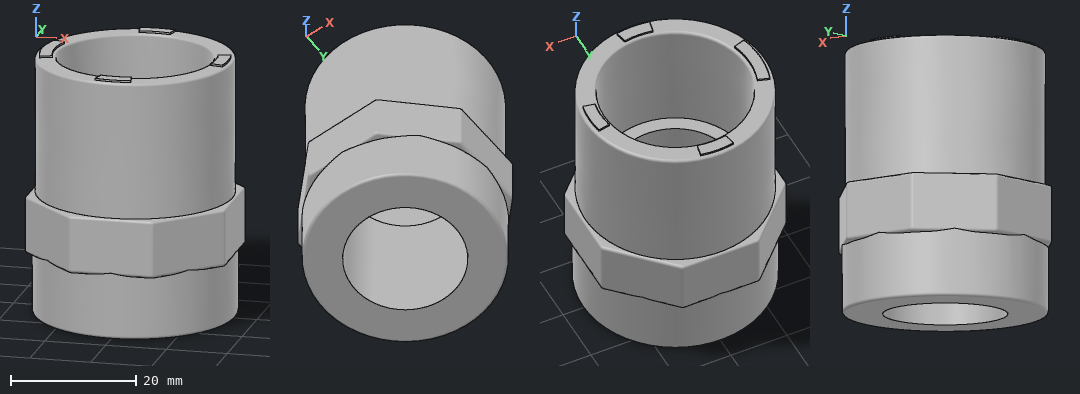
import cadquery as cq
import math

total_height = 42.8
marking_height = 0.3
end_face_z = total_height - marking_height
collar_top_z = 20.0
collar_bottom_z = 10.5

base_diameter = 33.0
collar_across_flats = base_diameter
collar_sides = 8
collar_corner_radius = 0.85
spigot_root_diameter = 32.0
spigot_end_diameter = 32.1
edge_radius = 0.5

bore_diameter = 20.0
socket_mouth_diameter = 25.3
socket_floor_diameter = 24.82
socket_depth = 19.25

pad_inner_radius = 13.25
pad_outer_radius = 15.32
marking_pads = [(0, 22), (90, 22), (180, 36), (270, 22)]


def make_base():
    """Round lower body with a rounded bottom edge, reaching into the collar."""
    base_height = collar_bottom_z + edge_radius
    base = cq.Workplane("XY").circle(base_diameter / 2).extrude(base_height)
    return base.faces("<Z").edges().fillet(edge_radius)


def make_collar():
    """Octagonal wrench collar, flats square to X and Y, all edges rounded."""
    across_corners = collar_across_flats / math.cos(math.pi / collar_sides)
    collar = (
        cq.Workplane("XY", origin=(0, 0, collar_bottom_z))
        .transformed(rotate=(0, 0, 180 / collar_sides))
        .polygon(collar_sides, across_corners)
        .extrude(collar_top_z - collar_bottom_z)
    )
    collar = collar.edges("|Z").fillet(collar_corner_radius)
    return collar.faces("<Z or >Z").edges().fillet(edge_radius)


def make_spigot():
    """Round upper body, widening slightly towards its rounded end."""
    root_z = collar_top_z - 2 * edge_radius
    spigot = (
        cq.Workplane("XY", origin=(0, 0, root_z))
        .circle(spigot_root_diameter / 2)
        .workplane(offset=end_face_z - root_z)
        .circle(spigot_end_diameter / 2)
        .loft()
    )
    return spigot.faces(">Z").edges().fillet(edge_radius)


def cut_bore_and_socket(body):
    """Open the through bore and the tapered socket with its rounded mouth."""
    bore = cq.Workplane("XY").circle(bore_diameter / 2).extrude(end_face_z)
    socket = (
        cq.Workplane("XY", origin=(0, 0, end_face_z - socket_depth))
        .circle(socket_floor_diameter / 2)
        .workplane(offset=socket_depth)
        .circle(socket_mouth_diameter / 2)
        .loft()
    )
    body = body.cut(bore).cut(socket)
    return body.faces(">Z").edges(cq.selectors.RadiusNthSelector(0)).fillet(edge_radius)


def make_marking_pad(direction, angular_length):
    """Raised ring segment on the end face, centred on the given direction."""

    def ring_point(radius, offset):
        angle = math.radians(direction + offset)
        return (radius * math.cos(angle), radius * math.sin(angle))

    half = angular_length / 2
    embed_depth = marking_height
    return (
        cq.Workplane("XY", origin=(0, 0, end_face_z - embed_depth))
        .moveTo(*ring_point(pad_inner_radius, -half))
        .lineTo(*ring_point(pad_outer_radius, -half))
        .threePointArc(ring_point(pad_outer_radius, 0), ring_point(pad_outer_radius, half))
        .lineTo(*ring_point(pad_inner_radius, half))
        .threePointArc(ring_point(pad_inner_radius, 0), ring_point(pad_inner_radius, -half))
        .close()
        .extrude(marking_height + embed_depth)
    )


body = make_base().union(make_collar()).union(make_spigot())
result = cut_bore_and_socket(body)
for direction, angular_length in marking_pads:
    result = result.union(make_marking_pad(direction, angular_length))